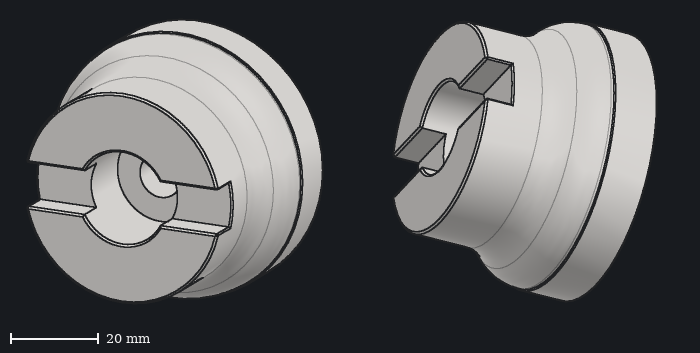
import cadquery as cq
import math

length = 40.0
rim_radius = 31.5
neck_radius = 25.0

rim_width = 10.8
rim_edge_chamfer = 0.15
rim_step = 0.3
shoulder_radius = rim_radius - rim_step

neck_start = 26.05
blend_radius = 10.0
blend_drop = (shoulder_radius - neck_radius) / 2
blend_angle = math.acos(1 - blend_drop / blend_radius)
blend_run = blend_radius * math.sin(blend_angle)

hole_diameter = 10.5
bore_diameter = 22.0
bore_depth = 20.0

slot_width = 10.5
slot_depth = 6.5
slot_floor_y = slot_depth - length

front_chamfer = 0.5
mouth_chamfer = 0.4

edge_tolerance = 0.01


def make_body():
    """Revolve the outer profile about Y; X is the radius of each point."""
    half_angle = blend_angle / 2
    half_run = blend_radius * math.sin(half_angle)
    half_drop = blend_radius * (1 - math.cos(half_angle))
    blend_middle = neck_start - blend_run
    shoulder_end = blend_middle - blend_run
    profile = (
        cq.Workplane("XY")
        .lineTo(rim_radius - rim_edge_chamfer, 0)
        .lineTo(rim_radius, -rim_edge_chamfer)
        .lineTo(rim_radius, -(rim_width - rim_step))
        .lineTo(shoulder_radius, -rim_width)
        .lineTo(shoulder_radius, -shoulder_end)
        .threePointArc(
            (shoulder_radius - half_drop, -(shoulder_end + half_run)),
            (shoulder_radius - blend_drop, -blend_middle),
        )
        .threePointArc(
            (neck_radius + half_drop, -(neck_start - half_run)),
            (neck_radius, -neck_start),
        )
        .lineTo(neck_radius, -length)
        .lineTo(0, -length)
        .close()
    )
    return profile.revolve(360, (0, 0, 0), (0, 1, 0))


def make_bore():
    """Through hole with a wider bore from the front end."""
    front = cq.Workplane("XZ", origin=(0, -length, 0))
    hole = front.circle(hole_diameter / 2).extrude(-length)
    bore = front.circle(bore_diameter / 2).extrude(-bore_depth)
    return hole.union(bore)


def make_slot():
    """Straight slot along X, open at the front end."""
    block = cq.Workplane("XY").box(2 * rim_radius, slot_depth, slot_width)
    return block.translate((0, slot_floor_y - slot_depth / 2, 0))


def is_at(value, target):
    return abs(value - target) < edge_tolerance


def is_on_neck(point):
    return is_at(math.hypot(point.x, point.z), neck_radius)


def is_mouth_edge(edge):
    """True for the edges where the slot walls and floor meet the neck."""
    middle = edge.positionAt(0.5)
    on_wall = is_at(abs(middle.z), slot_width / 2)
    on_floor = is_at(middle.y, slot_floor_y)
    return is_on_neck(middle) and (on_wall or on_floor)


def is_front_edge(edge):
    """True for the edges lying in the front face."""
    return is_at(edge.startPoint().y, -length) and is_at(edge.positionAt(0.5).y, -length)


def chamfer_edges(body, is_wanted, size):
    """Chamfer every edge of the body that the given test accepts."""
    edges = [edge for edge in body.edges().vals() if is_wanted(edge)]
    return body.newObject(edges).chamfer(size)


slotted_body = make_body().cut(make_bore()).cut(make_slot())
mouth_chamfered = chamfer_edges(slotted_body, is_mouth_edge, mouth_chamfer)
result = chamfer_edges(mouth_chamfered, is_front_edge, front_chamfer)